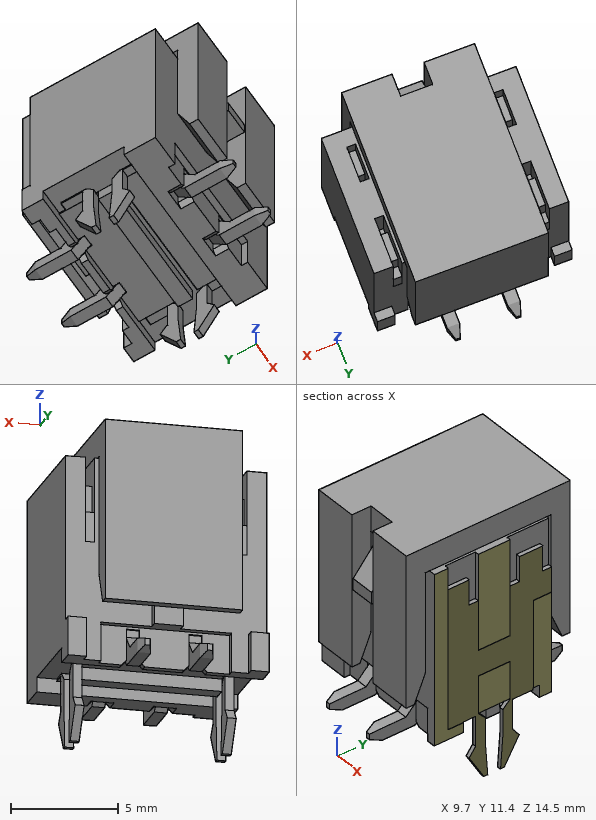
import cadquery as cq


housing_width = 9.7
housing_depth = 6.92
housing_height = 9.93
half_width = housing_width / 2
half_depth = housing_depth / 2

recess_width = 6.31
recess_height = 1.9
recess_depth = 0.35

channel_rear = 2.74
channel_front = -1.73
channel_height = 0.71
inner_channel_height = 0.61
standoff_rear = 0.58
standoff_front = -0.23
relief_front = -0.46

foot_width = 0.88
rear_reach = 3.92
key_top = 8.9

latch_width = 1.39
latch_top = 9.42
latch_lip_top = 7.79
latch_lip_bottom = 7.12
latch_fillet = 0.62

cap_width = 6.63
cap_depth = 9.69
latch_reach = cap_depth / 2
cap_top = 11.41
cap_inner_y = 3.71
cap_arm_bottom = 2.61
cap_tip_y = 4.36
cap_taper_top = 4.13
cap_notch_width = 1.6

contact_pitch = 3.02
contact_width = 0.62
contact_post_front = 2.99
contact_post_back = 2.38
contact_post_top = 1.78
contact_height = 0.71
bend_top = 1.42
bend_reach = 3.7
heel_reach = 3.13
heel_height = heel_reach - contact_post_back
taper_start = 5.09
contact_reach = 5.7
tip_width = 0.23
tip_height = 0.32
flare = 0.25
contact_xs = (-contact_pitch / 2, contact_pitch / 2)

clip_x = 3.67
clip_xs = (-clip_x, clip_x)
clip_thickness = 0.44
clip_y = 0.07
leg_inner = 0.51
leg_outer = 1.1
barb_reach = 1.5
leg_tip_inner = 0.36
leg_tip_outer = 0.61
arm_inner = 0.94
clip_bottom = -3.09
barb_z = -1.61
barb_root_z = -1.1
undercut_z = 0.29
shoulder_z = 0.61
bridge_bottom = 2.9
bridge_top = 4.35
head_bottom = 5.8
head_shoulder = 7.25
arm_top = 8.7
rear_arm_back = 2.38
rear_neck_back = 2.95
rear_neck_front = 1.57
front_arm_front = -2.64
front_neck_back = -1.4


def box(x0, x1, y0, y1, z0, z1):
    """Box between two corners."""
    return cq.Workplane("XY").box(x1 - x0, y1 - y0, z1 - z0, centered=False).translate((x0, y0, z0))


def slab(outline, width, x=0.0):
    """Outline drawn in the YZ plane, given a width in X centred on x."""
    return outline.close().extrude(width / 2, both=True).translate((x, 0, 0))


def yz_polygon(points):
    return cq.Workplane("YZ").polyline(points)


def half_turn(body):
    """The body turned to the opposite row."""
    return body.rotate((0, 0, 0), (0, 0, 1), 180)


def make_contact(x):
    """Front-row contact: a post bent forward into a foot with a tapered tip."""
    bent_strip = slab(
        yz_polygon([
            (-taper_start, 0),
            (-taper_start, contact_height),
            (-bend_reach, contact_height),
            (-contact_post_front, bend_top),
            (-contact_post_front, contact_post_top),
            (-contact_post_back, contact_post_top),
            (-contact_post_back, heel_height),
            (-heel_reach, 0),
        ]),
        contact_width,
    )
    tip = (
        cq.Workplane("XZ", origin=(0, -taper_start, contact_height / 2))
        .rect(contact_width, contact_height)
        .workplane(offset=contact_reach - taper_start)
        .rect(tip_width, tip_height)
        .loft(ruled=True)
    )
    return bent_strip.union(tip).translate((x, 0, 0))


def make_contact_slot(x):
    """Front-row slot around a contact, flared where it meets the board."""
    half = contact_width / 2
    slot = box(-half, half, -half_depth, -contact_post_back, 0, contact_post_top)
    mouth = (
        cq.Workplane("XZ", origin=(0, -contact_post_back, 0))
        .polyline([(-half - flare, 0), (-half, flare), (half, flare), (half + flare, 0)])
        .close()
        .extrude(half_depth - contact_post_back)
    )
    return slot.union(mouth).translate((x, 0, 0))


def make_clip_leg(side, x):
    """Barbed leg below the housing; side is +1 for the rear leg and -1 for the front one."""
    undercut_top = undercut_z + arm_inner - leg_inner
    profile = [
        (leg_inner, undercut_z),
        (leg_inner, barb_root_z),
        (leg_tip_inner, clip_bottom),
        (leg_tip_outer, clip_bottom),
        (barb_reach, barb_z),
        (leg_outer, barb_root_z),
        (leg_outer, undercut_top),
        (arm_inner, undercut_top),
    ]
    return slab(yz_polygon([(clip_y + side * y, z) for y, z in profile]), clip_thickness, x)


def make_clip_arms(x):
    """Part of the clip held in the housing: two arms and the bridge between them."""
    rear_inner = clip_y + arm_inner
    front_inner = clip_y - arm_inner
    return slab(
        yz_polygon([
            (rear_inner, shoulder_z),
            (rear_arm_back, shoulder_z),
            (rear_arm_back, head_bottom),
            (half_depth, head_bottom),
            (half_depth, head_shoulder),
            (rear_neck_back, head_shoulder),
            (rear_neck_back, arm_top),
            (rear_neck_front, arm_top),
            (rear_neck_front, head_shoulder),
            (rear_inner, head_shoulder),
            (rear_inner, bridge_top),
            (front_inner, bridge_top),
            (front_inner, head_shoulder),
            (front_neck_back, head_shoulder),
            (front_neck_back, arm_top),
            (front_arm_front, arm_top),
            (front_arm_front, shoulder_z),
            (front_inner, shoulder_z),
            (front_inner, bridge_bottom),
            (rear_inner, bridge_bottom),
        ]),
        clip_thickness,
        x,
    )


def make_clip(x):
    clip = make_clip_arms(x)
    for side in (1, -1):
        clip = clip.union(make_clip_leg(side, x))
    return clip


def make_clip_slot(x):
    """Pocket for the clip, with both arm slots open at the top of the housing."""
    x0 = x - clip_thickness / 2
    x1 = x + clip_thickness / 2
    rear_slot = box(x0, x1, clip_y + arm_inner, half_depth, head_bottom, housing_height)
    front_slot = box(x0, x1, front_arm_front, clip_y - arm_inner, head_bottom, housing_height)
    return make_clip(x).union(rear_slot).union(front_slot)


def make_latch():
    """Locking ramp on the front face, with a hollow-filleted underside."""
    outline = (
        cq.Workplane("YZ")
        .moveTo(-half_depth, latch_top)
        .lineTo(-latch_reach, latch_lip_top)
        .lineTo(-latch_reach, latch_lip_bottom)
        .lineTo(-half_depth - latch_fillet, latch_lip_bottom)
        .radiusArc((-half_depth, latch_lip_bottom - latch_fillet), latch_fillet)
    )
    return slab(outline, latch_width)


def cut_channel(housing):
    """Crosswise channel in the underside, lower between the clips and split by a stand-off."""
    inner_half = clip_x - clip_thickness / 2
    channel = box(-inner_half, inner_half, channel_front, channel_rear, 0, inner_channel_height)
    for x0, x1 in ((-half_width, -inner_half), (inner_half, half_width)):
        channel = channel.union(box(x0, x1, channel_front, channel_rear, 0, channel_height))
    standoff = box(-inner_half, inner_half, standoff_front, standoff_rear, 0, channel_height)
    relief = box(-inner_half, inner_half, relief_front, standoff_front, 0, channel_height)
    return housing.cut(channel.cut(standoff).union(relief))


def make_housing():
    housing = box(-half_width, half_width, -half_depth, half_depth, 0, housing_height)

    half_recess = recess_width / 2
    recess = box(-half_recess, half_recess, -half_depth, recess_depth - half_depth, 0, recess_height)
    housing = housing.cut(recess).cut(half_turn(recess))
    housing = cut_channel(housing)

    for x in contact_xs:
        slot = make_contact_slot(x)
        housing = housing.cut(slot).cut(half_turn(slot))
    for x in clip_xs:
        housing = housing.cut(make_clip_slot(x))

    for x0 in (-half_width, half_width - foot_width):
        housing = housing.union(box(x0, x0 + foot_width, half_depth, rear_reach, 0, recess_height))
    key_half = latch_width / 2
    key_rib = box(-key_half, key_half, half_depth, rear_reach, recess_height, key_top)
    return housing.union(key_rib).union(make_latch())


def make_cap():
    """U-shaped cap resting on the housing, notched for the latch and grooved for the key rib."""
    outer_y = cap_depth / 2
    cap = slab(
        yz_polygon([
            (-outer_y, cap_top),
            (outer_y, cap_top),
            (outer_y, cap_arm_bottom),
            (cap_tip_y, cap_arm_bottom),
            (cap_inner_y, cap_taper_top),
            (cap_inner_y, housing_height),
            (-cap_inner_y, housing_height),
            (-cap_inner_y, cap_taper_top),
            (-cap_tip_y, cap_arm_bottom),
            (-outer_y, cap_arm_bottom),
        ]),
        cap_width,
    )
    notch_half = cap_notch_width / 2
    latch_notch = box(-notch_half, notch_half, -outer_y, -cap_inner_y, cap_arm_bottom, cap_top)
    key_groove = box(-notch_half, notch_half, cap_inner_y, rear_reach, cap_arm_bottom, housing_height)
    return cap.cut(latch_notch).cut(key_groove)


housing = make_housing()
cap = make_cap()
contacts = []
for contact_x in contact_xs:
    contact = make_contact(contact_x)
    contacts += [contact.val(), half_turn(contact).val()]
clips = [make_clip(x).val() for x in clip_xs]

result = cq.Compound.makeCompound([housing.val(), cap.val(), *contacts, *clips])